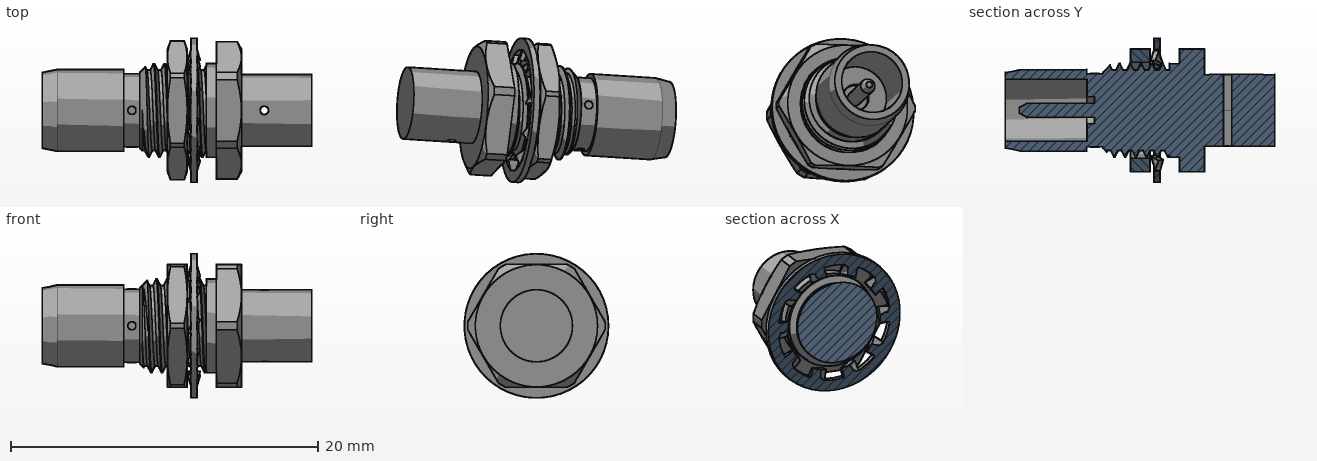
import cadquery as cq
import math


SLEEVE_R = 2.67
SLEEVE_TIP_R = 2.47
SLEEVE_TAPER_LENGTH = 0.98
SLEEVE_END = 5.31
BORE_R = 2.01
BORE_DEPTH = SLEEVE_END
CONTACT_RECESS_R = 0.855
CONTACT_RECESS_DEPTH = 0.5
CONTACT_R = 0.47
CONTACT_TIP_R = 0.2
CONTACT_TIP_X = 0.91
CONTACT_CONE_LENGTH = 0.5

NECK_R = 2.385
NECK_END = 6.35
PLUG_R = 0.265
PLUG_TOP_R = 2.4
PLUG_X = 5.84
PLUG_COUNT = 4

THREAD_R = 3.05
THREAD_ROOT_R = 2.63
THREAD_PITCH = 0.7
THREAD_RIDGE_WIDTH = 0.48
THREAD_CREST_WIDTH = 0.06
THREAD_START_R = 2.47
THREAD_START_X = 5.70
THREAD_END = 10.68
THREAD_EMBED = 0.1
COLLAR_R = 3.06

FLANGE_START = 11.33
FLANGE_END = 12.98
FLANGE_CORNER_R = 4.47
FLANGE_CHAMFER_LENGTH = 0.29
TAIL_R = 2.35
TOTAL_LENGTH = 17.55
TAIL_HOLE_R = 0.265
TAIL_HOLE_X = 14.46

HEX_ACROSS_FLATS = 8.0
HEX_CHAMFER_R = 3.98

NUT_START = 8.15
NUT_END = 9.44
NUT_CORNER_R = 4.53
NUT_CHAMFER_LENGTH = 0.2
NUT_BORE_R = 3.12

WASHER_R = 4.7
WASHER_THICKNESS = 0.4
WASHER_MID_X = 9.88
WASHER_INNER_R = 3.95
TOOTH_COUNT = 10
FIRST_TOOTH_ANGLE = 180 / TOOTH_COUNT
TOOTH_WIDTH = 1.1
TOOTH_TIP_R = 3.25
TOOTH_EMBED = 0.1
TOOTH_THICKNESS = 0.36
TOOTH_TWIST = -28.0


def revolve_profile(points):
    """Solid of revolution about X from (x, radius) points."""
    return cq.Workplane("XY").polyline(points).close().revolve(360, (0, 0, 0), (1, 0, 0))


def cylinder(start, end, radius):
    """Solid cylinder along X."""
    return cq.Workplane("YZ").workplane(offset=start).circle(radius).extrude(end - start)


def hexagon(start, end, corner_r, start_chamfer, end_chamfer):
    """Hexagonal prism along X, flats facing +Z and -Z, corners turned to corner_r and chamfered."""
    across_corners = HEX_ACROSS_FLATS / math.cos(math.pi / 6)
    prism = cq.Workplane("YZ").workplane(offset=start).polygon(6, across_corners).extrude(end - start)
    envelope = [(start, 0)]
    if start_chamfer:
        envelope.append((start, HEX_CHAMFER_R))
    envelope.append((start + start_chamfer, corner_r))
    envelope.append((end - end_chamfer, corner_r))
    if end_chamfer:
        envelope.append((end, HEX_CHAMFER_R))
    envelope.append((end, 0))
    return prism.intersect(revolve_profile(envelope))


def thread_ridge():
    """Right-handed helical ridge, trimmed by the lead-in chamfer and the collar face."""
    helix_length = math.ceil((THREAD_END - THREAD_START_X) / THREAD_PITCH + 1) * THREAD_PITCH
    path = cq.Wire.makeHelix(THREAD_PITCH, helix_length, THREAD_ROOT_R)
    flank_slope = (THREAD_RIDGE_WIDTH - THREAD_CREST_WIDTH) / 2 / (THREAD_R - THREAD_ROOT_R)
    half_base = THREAD_RIDGE_WIDTH / 2 + flank_slope * THREAD_EMBED
    half_crest = THREAD_CREST_WIDTH / 2
    section = [
        (THREAD_ROOT_R - THREAD_EMBED, -half_base),
        (THREAD_R, -half_crest),
        (THREAD_R, half_crest),
        (THREAD_ROOT_R - THREAD_EMBED, half_base),
    ]
    ridge = cq.Workplane("XZ").polyline(section).close().sweep(path, isFrenet=True)
    ridge = ridge.rotate((0, 0, 0), (0, 1, 0), 90).translate((THREAD_START_X, 0, 0))
    trim_r = THREAD_R + THREAD_EMBED
    envelope = [
        (NECK_END, 0),
        (NECK_END, THREAD_START_R),
        (NECK_END + trim_r - THREAD_START_R, trim_r),
        (THREAD_END, trim_r),
        (THREAD_END, 0),
    ]
    return ridge.intersect(revolve_profile(envelope))


def connector_core():
    """Turned connector body with its hollow sleeve and the centre contact inside."""
    recess_end = BORE_DEPTH + CONTACT_RECESS_DEPTH
    root_lead_in = THREAD_ROOT_R - THREAD_START_R
    profile = [
        (CONTACT_TIP_X, 0),
        (CONTACT_TIP_X, CONTACT_TIP_R),
        (CONTACT_TIP_X + CONTACT_CONE_LENGTH, CONTACT_R),
        (recess_end, CONTACT_R),
        (recess_end, CONTACT_RECESS_R),
        (BORE_DEPTH, CONTACT_RECESS_R),
        (BORE_DEPTH, BORE_R),
        (0, BORE_R),
        (0, SLEEVE_TIP_R),
        (SLEEVE_TAPER_LENGTH, SLEEVE_R),
        (SLEEVE_END, SLEEVE_R),
        (SLEEVE_END, NECK_R),
        (NECK_END, NECK_R),
        (NECK_END, THREAD_START_R),
        (NECK_END + root_lead_in, THREAD_ROOT_R),
        (THREAD_END, THREAD_ROOT_R),
        (THREAD_END, COLLAR_R),
        (FLANGE_START, COLLAR_R),
        (FLANGE_START, TAIL_R),
        (TOTAL_LENGTH, TAIL_R),
        (TOTAL_LENGTH, 0),
    ]
    return revolve_profile(profile)


def neck_plugs():
    """Flat-topped round plugs set radially into the neck wall."""
    plug_base = (CONTACT_RECESS_R + NECK_R) / 2
    plug = cq.Workplane("XY").workplane(offset=plug_base).center(PLUG_X, 0)
    plug = plug.circle(PLUG_R).extrude(PLUG_TOP_R - plug_base)
    plugs = []
    for index in range(PLUG_COUNT):
        plugs.append(plug.rotate((0, 0, 0), (1, 0, 0), index * 360 / PLUG_COUNT))
    return plugs


def make_connector():
    """One-piece connector: turned core, thread, hexagonal flange, neck plugs and tail cross hole."""
    connector = connector_core().union(thread_ridge())
    connector = connector.union(
        hexagon(FLANGE_START, FLANGE_END, FLANGE_CORNER_R, 0, FLANGE_CHAMFER_LENGTH)
    )
    for plug in neck_plugs():
        connector = connector.union(plug)
    tail_hole = cq.Workplane("XY").center(TAIL_HOLE_X, 0).circle(TAIL_HOLE_R).extrude(TAIL_R, both=True)
    return connector.cut(tail_hole)


def make_nut():
    """Hexagonal nut, chamfered on both faces, with a clearance bore over the thread."""
    nut = hexagon(NUT_START, NUT_END, NUT_CORNER_R, NUT_CHAMFER_LENGTH, NUT_CHAMFER_LENGTH)
    return nut.cut(cylinder(NUT_START, NUT_END, NUT_BORE_R))


def washer_tooth():
    """Tooth at +Z: flat where it leaves the ring, twisted about its radial axis towards its tip."""
    root_r = WASHER_INNER_R + TOOTH_EMBED
    return (
        cq.Workplane("XY", origin=(WASHER_MID_X, 0, root_r))
        .rect(TOOTH_THICKNESS, TOOTH_WIDTH)
        .workplane(offset=TOOTH_TIP_R - root_r)
        .transformed(rotate=(0, 0, TOOTH_TWIST))
        .rect(TOOTH_THICKNESS, TOOTH_WIDTH)
        .loft(ruled=True)
    )


def make_washer():
    """Flat ring with twisted teeth pointing inwards."""
    start = WASHER_MID_X - WASHER_THICKNESS / 2
    end = WASHER_MID_X + WASHER_THICKNESS / 2
    washer = cylinder(start, end, WASHER_R).cut(cylinder(start, end, WASHER_INNER_R))
    tooth = washer_tooth()
    for index in range(TOOTH_COUNT):
        angle = FIRST_TOOTH_ANGLE + index * 360 / TOOTH_COUNT
        washer = washer.union(tooth.rotate((0, 0, 0), (1, 0, 0), angle))
    return washer


connector = make_connector()
nut = make_nut()
washer = make_washer()

result = cq.Compound.makeCompound([connector.solids().val(), nut.solids().val(), washer.solids().val()])